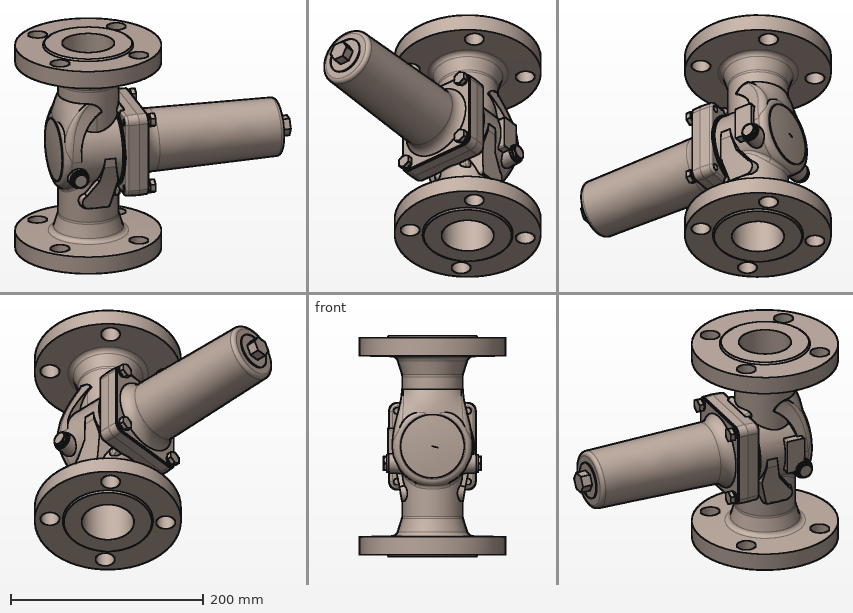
import cadquery as cq
import math

total_height = 230.0
total_length = 292.3

flange_diameter = 152.3
tip_y = total_length - flange_diameter / 2
flange_back_z = 94.0
rim_height = 2.0
rim_diameter = 94.0
rim_face_diameter = 91.2
bolt_hole_diameter = 20.0
bolt_circle_diameter = 120.5
bore_diameter = 54.5
bore_depth = 52.5

pipe_diameter = 63.0
pipe_end_z = 72.5
cone_start_z = 74.8
cone_start_radius = 32.0
cone_end_z = 88.9
cone_end_radius = 36.2
neck_root_diameter = 83.5
neck_root_z = 93.2

chamber_diameter = 83.3
chamber_front_y = -36.8
chamber_edge_radius = 7.3
chamber_blend_radius = 4.5
cover_diameter = 66.0
cover_center_y = -39.5
cover_rim_y = -37.7
cover_thickness = 2.3
passage_top_z = 59.3
passage_back_y = 8.8
passage_root_y = -18.7
passage_sections = [
    (0, chamber_diameter / 2, -29.0, 34.2, -36.2, chamber_front_y),
    (20.5, 39.5, -27.2, 32.1, -35.0, -37.0),
    (39.5, 34.8, -22.0, 30.7, -28.4, -36.8),
    (passage_top_z, 32.0, -7.5, 30.0, -10.5, -31.5),
]

joint_y = 42.0
joint_width = 90.5
joint_corner_radius = 8.8
joint_draft = 3.0
body_flange_thickness = 14.0
body_flange_edge_radius = 3.0
bonnet_flange_thickness = 11.0
bonnet_edge_chamfer = 1.2
collar_diameter = 86.8
collar_length = 2.3

screw_spacing = 73.7
screw_head_corners = 14.5
screw_head_height = 5.3
screw_washer_diameter = 10.0
screw_washer_height = 2.3
screw_hole_diameter = 6.7
screw_hole_depth = 4.5

bead_length = 43.8
bead_end_radius = 2.3
upper_bead_diameter = 8.0
upper_bead_y = 29.2
upper_bead_z = 44.0
lower_bead_diameter = 10.0
lower_bead_y = 24.0
lower_bead_z = -45.3

housing_flare_diameter = 79.0
housing_base_diameter = 66.3
housing_base_y = 67.8
housing_end_diameter = 61.5
housing_end_y = 204.3
housing_end_radius = 4.5
end_washer_diameter = 38.3
end_washer_thickness = 1.2
end_hex_across_flats = 18.7

plug_y = -22.2
plug_z = -17.8
boss_diameter = 20.0
boss_draft = 3.0
boss_end_x = 45.3
plug_washer_diameter = 18.0
plug_washer_thickness = 2.3
plug_end_x = 51.0
plug_across_flats = 14.5
plug_chamfer = 1.5

plate_face_x = 46.2
plate_width_y = 20.2
plate_height_z = 37.0
plate_center_y = -13.2
plate_corner_radius = 1.5

arrow_pad_face_x = 42.0
arrow_pad_top_x = 41.8
arrow_pad_bottom_z = -57.3
arrow_pad_depth = 23.5
arrow_pad_taper = 20.0


def cylinder_y(diameter, y_start, y_end, x=0, z=0):
    """Cylinder parallel to Y between two Y positions."""
    plane = cq.Workplane("XZ", origin=(x, y_start, z))
    return plane.circle(diameter / 2).extrude(y_start - y_end)


def hex_y(corner_diameter, y_start, y_end, x=0, z=0, turn=0):
    """Hexagonal prism parallel to Y, with corners on the X axis before turning."""
    plane = cq.Workplane("XZ", origin=(x, y_start, z)).transformed(rotate=(0, 0, turn))
    return plane.polygon(6, corner_diameter).extrude(y_start - y_end)


def both_sides(shape):
    """Shape together with its mirror image in X."""
    return shape.union(shape.mirror("YZ"))


def pipe_end():
    """Upper half of the pipe with flared neck and drilled flange."""
    face_z = total_height / 2
    profile = (
        cq.Workplane("XZ")
        .lineTo(pipe_diameter / 2, 0)
        .lineTo(pipe_diameter / 2, pipe_end_z)
        .tangentArcPoint((cone_start_radius, cone_start_z), relative=False)
        .lineTo(cone_end_radius, cone_end_z)
        .tangentArcPoint((neck_root_diameter / 2, neck_root_z), relative=False)
        .lineTo(flange_diameter / 2, flange_back_z)
        .lineTo(flange_diameter / 2, face_z - rim_height)
        .lineTo(rim_diameter / 2, face_z - rim_height)
        .lineTo(rim_face_diameter / 2, face_z)
        .lineTo(0, face_z)
        .close()
    )
    solid = profile.revolve(360, (0, 0, 0), (0, 1, 0))
    bolt_holes = (
        cq.Workplane("XY", origin=(0, 0, neck_root_z - 3))
        .polarArray(bolt_circle_diameter / 2, 45, 360, 4)
        .circle(bolt_hole_diameter / 2)
        .extrude(face_z)
    )
    return solid.cut(bolt_holes)


def bore():
    """Blind bore in the upper flange."""
    plane = cq.Workplane("XY", origin=(0, 0, total_height / 2))
    return plane.circle(bore_diameter / 2).extrude(-bore_depth)


def chamber():
    """Horizontal cylinder with a rounded front edge, closed by the body flange."""
    drum = cylinder_y(chamber_diameter, chamber_front_y, joint_y)
    return drum.faces("<Y").edges().fillet(chamber_edge_radius)


def passage_section(side_x, side_y, shoulder_x, shoulder_y, crown_y):
    """Horizontal section: straight sides, rounded shoulders and an arched front."""
    corner_x = shoulder_x + (side_x - shoulder_x) * math.sin(math.pi / 4)
    corner_y = side_y + (shoulder_y - side_y) * math.sin(math.pi / 4)
    return (
        cq.Workplane("XY")
        .moveTo(side_x, passage_back_y)
        .lineTo(side_x, side_y)
        .threePointArc((corner_x, corner_y), (shoulder_x, shoulder_y))
        .threePointArc((0, crown_y), (-shoulder_x, shoulder_y))
        .threePointArc((-corner_x, corner_y), (-side_x, side_y))
        .lineTo(-side_x, passage_back_y)
        .close()
        .wires()
        .val()
    )


def passage():
    """Smooth hood that narrows from the chamber up to the pipe, with a hooked back."""
    wires = [passage_section(*row[1:]).moved(cq.Location((0, 0, row[0]))) for row in passage_sections]
    hood = cq.Workplane(cq.Solid.makeLoft(wires, False))
    side = (
        cq.Workplane("YZ", origin=(-flange_diameter / 2, 0, 0))
        .moveTo(2 * chamber_front_y, 0)
        .lineTo(2 * chamber_front_y, passage_top_z)
        .lineTo(-10.0, passage_top_z)
        .threePointArc((0.5, 56.0), (5.5, 49.7))
        .threePointArc((-10.5, 35.0), (passage_root_y, 11.7))
        .lineTo(passage_root_y, 0)
        .close()
        .extrude(flange_diameter)
    )
    return hood.intersect(side)


def cover():
    """Shallow spherical cover on the chamber front."""
    rim_radius = cover_diameter / 2
    rise = cover_rim_y - cover_center_y
    profile = (
        cq.Workplane("XY")
        .moveTo(0, cover_center_y)
        .threePointArc((rim_radius / 2, cover_center_y + rise / 4), (rim_radius, cover_rim_y))
        .lineTo(rim_radius, cover_rim_y + cover_thickness)
        .lineTo(0, cover_rim_y + cover_thickness)
        .close()
    )
    return profile.revolve(360, (0, 0, 0), (0, 1, 0))


def body():
    """Pipe with both flanges and the chamber, blended below the chamber front."""
    upper_end = pipe_end()
    solid = upper_end.union(upper_end.mirror("XY")).union(chamber())
    half = pipe_diameter / 2 + 1.5
    blend = cq.selectors.BoxSelector((-half, -half, -chamber_diameter / 2 - 3), (half, -5.8, -23.5))
    return solid.edges(blend).fillet(chamber_blend_radius).union(passage()).union(cover())


def joint_plate(thickness):
    """Drafted square plate with rounded corners, standing on the joint face towards +Y or -Y."""
    outline = cq.Sketch().rect(joint_width, joint_width).vertices().fillet(joint_corner_radius)
    plane = cq.Workplane("XZ", origin=(0, joint_y, 0)).placeSketch(outline)
    return plane.extrude(-thickness, taper=joint_draft)


def bead(diameter, y, z):
    """Round bead along X with rounded ends."""
    rod = cq.Workplane("YZ", origin=(-bead_length / 2, y, z)).circle(diameter / 2).extrude(bead_length)
    return rod.edges().fillet(bead_end_radius)


def joint():
    """Body and bonnet flanges with collar, beads, screws and threaded holes."""
    body_front_y = joint_y - body_flange_thickness
    bonnet_back_y = joint_y + bonnet_flange_thickness
    body_side = joint_plate(-body_flange_thickness)
    body_side = body_side.faces("<Y").edges().fillet(body_flange_edge_radius)
    bonnet_side = joint_plate(bonnet_flange_thickness)
    bonnet_side = bonnet_side.faces(">Y").edges().chamfer(bonnet_edge_chamfer)
    collar = cylinder_y(collar_diameter, body_front_y - collar_length, joint_y)
    collar = collar.faces("<Y").edges().chamfer(collar_length / 2)

    solid = body_side.union(bonnet_side).union(collar)
    solid = solid.union(bead(upper_bead_diameter, upper_bead_y, upper_bead_z))
    solid = solid.union(bead(lower_bead_diameter, lower_bead_y, lower_bead_z))
    washer_top_y = bonnet_back_y + screw_washer_height
    half = screw_spacing / 2
    for x in (-half, half):
        for z in (-half, half):
            washer = cylinder_y(screw_washer_diameter, bonnet_back_y, washer_top_y, x, z)
            head = hex_y(screw_head_corners, washer_top_y, washer_top_y + screw_head_height, x, z, 30)
            hole = cylinder_y(screw_hole_diameter, body_front_y, body_front_y + screw_hole_depth, x, z)
            solid = solid.union(washer).union(head).cut(hole)
    return solid


def actuator():
    """Slightly tapered housing with flared base, end washer and hexagon."""
    base_y = joint_y + bonnet_flange_thickness
    profile = (
        cq.Workplane("XY")
        .moveTo(0, base_y)
        .lineTo(housing_flare_diameter / 2, base_y)
        .threePointArc((34.5, 59.5), (housing_base_diameter / 2, housing_base_y))
        .lineTo(housing_end_diameter / 2, housing_end_y)
        .lineTo(0, housing_end_y)
        .close()
    )
    housing = profile.revolve(360, (0, 0, 0), (0, 1, 0))
    housing = housing.faces(">Y").edges().fillet(housing_end_radius)
    washer_y = housing_end_y + end_washer_thickness
    washer = cylinder_y(end_washer_diameter, housing_end_y, washer_y)
    hexagon = hex_y(end_hex_across_flats / math.cos(math.pi / 6), washer_y, tip_y)
    return housing.union(washer).union(hexagon)


def side_plug():
    """Boss, washer and hexagon plug on the +X side."""
    plane = cq.Workplane("YZ", origin=(0, plug_y, plug_z))
    boss_face = cq.Workplane("YZ", origin=(boss_end_x, plug_y, plug_z))
    boss = boss_face.circle(boss_diameter / 2).extrude(-boss_end_x, taper=-boss_draft)
    washer_x = boss_end_x + plug_washer_thickness
    washer = plane.circle(plug_washer_diameter / 2).extrude(washer_x)
    corner_diameter = plug_across_flats / math.cos(math.pi / 6)
    hexagon = plane.polygon(6, corner_diameter).extrude(plug_end_x)
    rounding = plane.circle(corner_diameter / 2).extrude(plug_end_x)
    rounding = rounding.faces(">X").edges().chamfer(plug_chamfer)
    hexagon = hexagon.intersect(rounding)
    return boss.union(washer).union(hexagon)


def name_plate():
    """Rectangular pad standing out from the chamber on the -X side."""
    pad = (
        cq.Workplane("YZ", origin=(-plate_face_x, plate_center_y, 0))
        .rect(plate_width_y, plate_height_z)
        .extrude(plate_face_x / 2)
    )
    return pad.edges("|X").fillet(plate_corner_radius)


def arrow_pad():
    """Tapered pad on the +X side that slopes from the chamber down to the pipe."""
    pad = (
        cq.Workplane("YZ", origin=(arrow_pad_face_x, 0, 0))
        .moveTo(17.5, 0)
        .lineTo(6.7, 0)
        .lineTo(3.2, -26.3)
        .lineTo(-9.0, -44.5)
        .threePointArc((-11.7, -51.0), (-8.0, -53.8))
        .lineTo(11.0, -53.8)
        .lineTo(20.0, -28.0)
        .close()
        .extrude(-arrow_pad_depth, taper=-arrow_pad_taper)
    )
    slope = (
        cq.Workplane("XZ", origin=(0, pipe_diameter / 2, 0))
        .moveTo(0, 0)
        .lineTo(arrow_pad_top_x, 0)
        .lineTo(arrow_pad_top_x, -8.8)
        .threePointArc((36.8, -29.2), (32.0, arrow_pad_bottom_z))
        .lineTo(0, arrow_pad_bottom_z)
        .close()
        .extrude(pipe_diameter)
    )
    return pad.intersect(slope)


result = (
    body()
    .union(joint())
    .union(actuator())
    .union(both_sides(side_plug()))
    .union(name_plate())
    .union(both_sides(arrow_pad()))
    .cut(bore())
    .cut(bore().mirror("XY"))
)